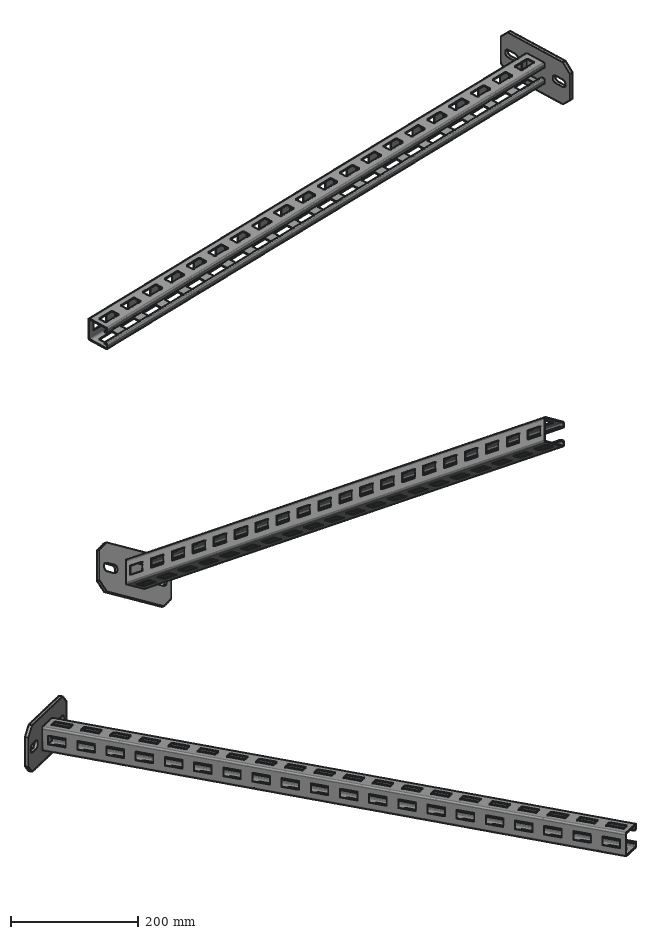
import cadquery as cq


total_length = 1006.0
plate_thickness = 6.0
channel_length = total_length - plate_thickness

plate_width = 150.0
plate_height = 80.0
plate_corner_chamfer = 15.0
mount_slot_length = 28.0
mount_slot_width = 14.0
mount_slot_offset = 51.0

channel_size = 41.0
wall = 2.0
bend_radius = 3.0
inner_bend_radius = bend_radius - wall
mouth_height = 20.0
lip_return = 7.0

slot_count = 20
slot_pitch = channel_length / slot_count
slot_length = 30.0
slot_width = 15.0
slot_corner_radius = 1.0


def make_plate():
    """Flat plate with chamfered corners and a mounting slot on each side of the channel."""
    plate = (
        cq.Workplane("XZ")
        .rect(plate_width, plate_height)
        .extrude(-plate_thickness)
        .edges("|Y")
        .chamfer(plate_corner_chamfer)
    )
    mount_slots = (
        cq.Workplane("XZ")
        .pushPoints([(-mount_slot_offset, 0), (mount_slot_offset, 0)])
        .slot2D(mount_slot_length, mount_slot_width)
        .extrude(-plate_thickness)
    )
    return plate.cut(mount_slots)


def bar(width, height, radius):
    """Rectangular bar along the channel with its long edges rounded."""
    return (
        cq.Workplane("XZ")
        .rect(width, height)
        .extrude(channel_length)
        .edges("|Y")
        .fillet(radius)
    )


def make_lip(side):
    """Inward return that stiffens one edge of the mouth; side is +1 for upper, -1 for lower."""
    return (
        cq.Workplane("XZ")
        .center((channel_size - lip_return) / 2, side * (mouth_height + wall) / 2)
        .rect(lip_return, wall)
        .extrude(channel_length)
    )


def round_lip_bend(section, side):
    """Round the outside and the inside of the bend between the front wall and one lip."""
    outer_x = channel_size / 2
    outer_z = side * mouth_height / 2
    mid_y = -channel_length / 2
    outer_edge = cq.selectors.NearestToPointSelector((outer_x, mid_y, outer_z))
    inner_edge = cq.selectors.NearestToPointSelector((outer_x - wall, mid_y, outer_z + side * wall))
    return section.edges(outer_edge).fillet(bend_radius).edges(inner_edge).fillet(inner_bend_radius)


def make_channel_section():
    """C-shaped tube, open along its +X side, with a lip on each edge of the mouth."""
    inner_size = channel_size - 2 * wall
    cavity = bar(inner_size, inner_size, inner_bend_radius)
    mouth = (
        cq.Workplane("XZ")
        .center(channel_size / 2, 0)
        .rect(2 * wall, mouth_height)
        .extrude(channel_length)
    )
    section = bar(channel_size, channel_size, bend_radius).cut(cavity).cut(mouth)
    for side in (1, -1):
        section = section.union(make_lip(side))
        section = round_lip_bend(section, side)
    return section


def make_slot_cutter():
    """Vertical cutter with a rounded rectangular section, long side along Y."""
    return (
        cq.Workplane("XY")
        .rect(slot_width, slot_length)
        .extrude(channel_size, both=True)
        .edges("|Z")
        .fillet(slot_corner_radius)
    )


def make_channel():
    """Channel with a row of slots through its top, bottom and back walls."""
    channel = make_channel_section()
    vertical_cutter = make_slot_cutter()
    sideways_cutter = vertical_cutter.rotate((0, 0, 0), (0, 1, 0), 90)
    for index in range(slot_count):
        slot_y = -(index + 0.5) * slot_pitch
        channel = channel.cut(vertical_cutter.translate((0, slot_y, 0)))
        channel = channel.cut(sideways_cutter.translate((0, slot_y, 0)))
    return channel


plate = make_plate()
channel = make_channel()
result = cq.Compound.makeCompound([plate.val(), channel.val()])